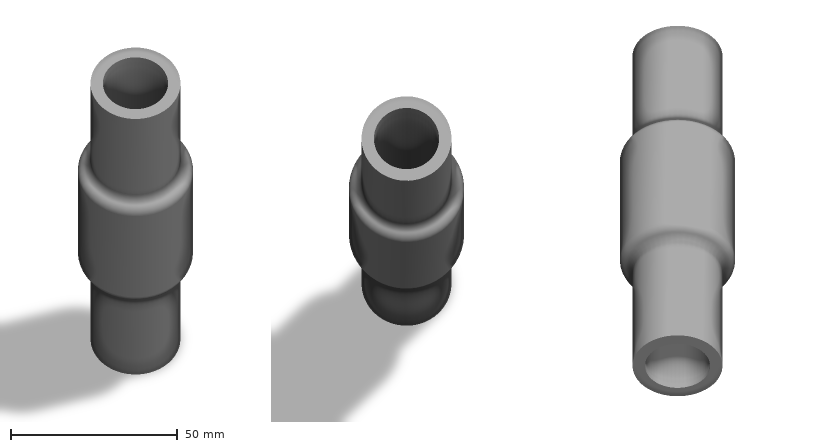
import cadquery as cq
import math

length = 126.0
tube_diameter = 27.0
body_diameter = 34.5
bore_diameter = 19.5

body_straight_length = 40.0

shoulder_arc_radius = 3.0

half_length = length / 2
tube_radius = tube_diameter / 2
body_radius = body_diameter / 2
bore_radius = bore_diameter / 2
body_end = body_straight_length / 2

arc_drop = (body_radius - tube_radius) / 2
arc_angle = math.acos(1 - arc_drop / shoulder_arc_radius)
arc_run = shoulder_arc_radius * math.sin(arc_angle)
middle_radius = tube_radius + arc_drop
shoulder_middle = body_end + arc_run
shoulder_end = shoulder_middle + arc_run


def make_section():
    """Wall section as (radius, height) points, symmetric about mid-height."""
    return (
        cq.Workplane("XZ")
        .moveTo(bore_radius, -half_length)
        .lineTo(bore_radius, half_length)
        .lineTo(tube_radius, half_length)
        .lineTo(tube_radius, shoulder_end)
        .tangentArcPoint((middle_radius, shoulder_middle), relative=False)
        .tangentArcPoint((body_radius, body_end), relative=False)
        .lineTo(body_radius, -body_end)
        .tangentArcPoint((middle_radius, -shoulder_middle), relative=False)
        .tangentArcPoint((tube_radius, -shoulder_end), relative=False)
        .lineTo(tube_radius, -half_length)
        .close()
    )


result = make_section().revolve(360, (0, 0, 0), (0, 1, 0))